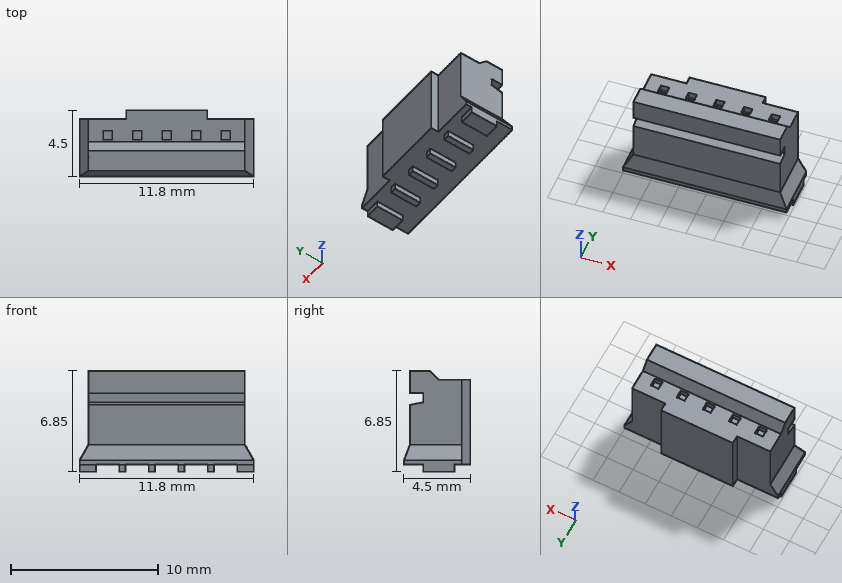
import cadquery as cq

foot_height = 0.5
skirt_edge_height = 0.3
skirt_top = 1.35
notch_front_bottom = 4.05
notch_inner_bottom = 4.22
notch_top = 4.83
deck_height = 5.75
top_height = 6.35

skirt_width = 11.8
body_width = 10.6
rear_pad_width = 5.5

body_depth = 3.5
skirt_overhang = 0.4
rear_pad_depth = 0.6
notch_depth = 0.9
ramp_start = 1.55
ramp_run = top_height - deck_height

contact_count = 5
contact_pitch = 2.0
contact_size = 0.6
contact_depth = 0.45
contact_setback = 1.1

end_foot_width = 1.12
inner_foot_width = 0.44
foot_rear = 0.47
foot_front = body_depth - notch_depth


def box(x_center, width, y_front, y_rear, z_bottom, z_top):
    """Axis-aligned block spanning the given Y and Z limits."""
    block = cq.Workplane("XY").box(width, y_rear - y_front, z_top - z_bottom, centered=False)
    return block.translate((x_center - width / 2, y_front, z_bottom))


def make_body():
    """Housing with a raised, ramped front rail and a notch across the front."""
    profile = [
        (0, 0),
        (0, deck_height),
        (-ramp_start, deck_height),
        (-ramp_start - ramp_run, top_height),
        (-body_depth, top_height),
        (-body_depth, notch_top),
        (-body_depth + notch_depth, notch_top),
        (-body_depth + notch_depth, notch_inner_bottom),
        (-body_depth, notch_front_bottom),
        (-body_depth, 0),
    ]
    return cq.Workplane("YZ").polyline(profile).close().extrude(body_width / 2, both=True)


def make_skirt():
    """Flared base: vertical rim, then sloped on the front and both ends, flat at the rear."""
    skirt_depth = body_depth + skirt_overhang
    rim = box(0, skirt_width, -skirt_depth, 0, 0, skirt_edge_height)
    flare = (
        cq.Workplane("XY", origin=(0, 0, skirt_edge_height))
        .center(0, -skirt_depth / 2)
        .rect(skirt_width, skirt_depth)
        .workplane(offset=skirt_top - skirt_edge_height)
        .center(0, (skirt_depth - body_depth) / 2)
        .rect(body_width, body_depth)
        .loft(ruled=True)
    )
    return rim.union(flare)


def make_rear_pad():
    """Full-height pad on the rear face."""
    return box(0, rear_pad_width, 0, rear_pad_depth, 0, deck_height)


def make_feet():
    """Wide feet at both ends and narrow feet midway between the contacts."""
    end_x = (skirt_width - end_foot_width) / 2
    feet = box(-end_x, end_foot_width, -foot_front, -foot_rear, -foot_height, 0)
    feet = feet.union(box(end_x, end_foot_width, -foot_front, -foot_rear, -foot_height, 0))
    gap_count = contact_count - 1
    for index in range(gap_count):
        x = (index - (gap_count - 1) / 2) * contact_pitch
        feet = feet.union(box(x, inner_foot_width, -foot_front, -foot_rear, -foot_height, 0))
    return feet


def make_contact_holes():
    """Row of blind square holes sunk into the deck."""
    return (
        cq.Workplane("XY", origin=(0, -contact_setback, deck_height))
        .rarray(contact_pitch, 1, contact_count, 1)
        .rect(contact_size, contact_size)
        .extrude(-contact_depth)
    )


housing = make_body().union(make_skirt()).union(make_rear_pad()).union(make_feet())
result = housing.cut(make_contact_holes())